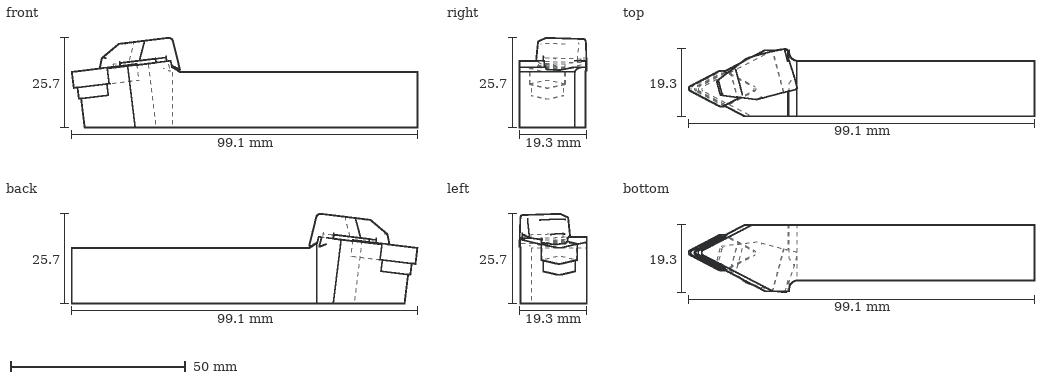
import cadquery as cq
import math

overall_length = 99.1
shank_width = 15.95
shank_height = 15.95

tilt = 7.0
head_drop = 0.3
head_bulge = 3.1
head_end_x = 28.3
step_bottom_x = 28.7
step_bottom_z = 17.3
ramp_end_x = 31.0
bulge_end_x = 28.8
bulge_fillet = 2.4

half_point = 55.0 / 2
insert_circle = 9.5
insert_thickness = 4.7
nose_radius = 0.8
blunt_radius = 3.4 / 2
shim_thickness = 3.3
shim_inset = 0.5
head_inset = 0.8

clamp_pivot = 8.2
clamp_turn = 15.0
rear_draft = 7.0
flare_draft = 9.0
clamp_top = 6.3
nose_front = 0.3
nose_top_a = 1.3
nose_top = 2.9
crown_front = 7.3
pad_end = 5.0
underside = 0.8
leg_front = 18.2
leg_front_bottom = -1.0
foot_bottom = -3.2
foot_end = 22.0
half_width = 6.0
nose_half_width = 2.1
flare = 22.5
rear_fillet = 1.4
side_fillet = 0.6
bottom_fillet = 0.4

half_shank = shank_width / 2
sin_half_point = math.sin(math.radians(half_point))
cos_half_point = math.cos(math.radians(half_point))
tan_half_point = math.tan(math.radians(half_point))
tan_tilt = math.tan(math.radians(tilt))
cos_tilt = math.cos(math.radians(tilt))

insert_radius = insert_circle / 2
insert_centre = (insert_radius - nose_radius) / sin_half_point + nose_radius
ample = 2 * overall_length
tolerance = 0.01

tilted_frame = cq.Location(
    cq.Plane(origin=(0, 0, shank_height), xDir=(1, 0, tan_tilt), normal=(-tan_tilt, 0, 1))
)


def rhombic_plate(top, thickness, inset):
    """Rhombic plate in the tilted frame, its sides moved inward by the inset."""
    radius = insert_radius - inset
    long_half = radius / sin_half_point
    short_half = radius / cos_half_point
    plate = (
        cq.Workplane("XY", origin=(insert_centre, 0, top))
        .polyline([(-long_half, 0), (0, -short_half), (long_half, 0), (0, short_half)])
        .close()
        .extrude(-thickness)
    )
    plate = plate.edges("<X or >X").fillet(nose_radius)
    return plate.edges("<Y or >Y").fillet(blunt_radius)


def make_insert():
    return rhombic_plate(0, insert_thickness, 0).val().moved(tilted_frame)


def make_shim():
    return rhombic_plate(-insert_thickness, shim_thickness, shim_inset).val().moved(tilted_frame)


def make_body():
    """Shank and head: a side profile trimmed to the pointed plan of the head."""
    head_drop_z = head_drop / cos_tilt
    profile = [
        (0, 0),
        (overall_length, 0),
        (overall_length, shank_height),
        (ramp_end_x, shank_height),
        (step_bottom_x, step_bottom_z),
        (head_end_x, shank_height + head_end_x * tan_tilt - head_drop_z),
        (0, shank_height - head_drop_z),
    ]
    block = (
        cq.Workplane("XZ", origin=(0, half_shank + head_bulge, 0))
        .polyline(profile)
        .close()
        .extrude(shank_width + head_bulge)
    )
    point = insert_centre - (insert_radius - head_inset) / sin_half_point
    wedge_half_width = ample * tan_half_point
    wedge = (
        cq.Workplane("XY", origin=(0, 0, -ample / 2))
        .polyline([(point, 0), (point + ample, -wedge_half_width), (point + ample, wedge_half_width)])
        .close()
        .extrude(ample)
        .edges("<X")
        .fillet(nose_radius)
    )
    body = block.intersect(cq.Workplane(wedge.val().moved(tilted_frame)))
    behind_bulge = (
        cq.Workplane("XY", origin=(bulge_end_x, half_shank, 0))
        .rect(ample, ample, centered=False)
        .extrude(ample)
        .edges("|Z and <X and <Y")
        .fillet(bulge_fillet)
    )
    return body.cut(behind_bulge)


def clamp_slab():
    """Side profile of the clamp at its full width."""
    rear_top = foot_end - (clamp_top - foot_bottom) * math.tan(math.radians(rear_draft))
    profile = [
        (nose_front, 0),
        (pad_end, 0),
        (pad_end, underside),
        (leg_front, underside),
        (leg_front, leg_front_bottom),
        (foot_end, foot_bottom),
        (rear_top, clamp_top),
        (crown_front, clamp_top),
        (nose_top_a, nose_top),
    ]
    return (
        cq.Workplane("XZ", origin=(0, half_width, 0))
        .polyline(profile)
        .close()
        .extrude(2 * half_width)
    )


def clamp_flare():
    """Triangular prism with drafted sides that narrows the clamp towards its nose."""
    tan_flare = math.tan(math.radians(flare))
    spread = math.tan(math.radians(flare_draft)) / math.cos(math.radians(flare))
    base_half_width = nose_half_width - foot_bottom * spread
    apex = nose_front - base_half_width / tan_flare
    return (
        cq.Workplane("XY", origin=(apex, 0, foot_bottom))
        .polyline([(0, 0), (ample, -ample * tan_flare), (ample, ample * tan_flare)])
        .close()
        .extrude(clamp_top - foot_bottom, taper=flare_draft)
    )


def is_upper_side_edge(edge):
    """True for the edges between the clamp's sides and its crown or nose slope."""
    centre = edge.Center()
    runs_along = abs(edge.tangentAt(0.5).x) > 0.2
    on_crown = centre.z > clamp_top - tolerance
    on_slope = centre.z > 1 and centre.x < crown_front - 0.5
    return runs_along and abs(centre.y) > 1 and (on_crown or on_slope)


def is_lower_edge(edge):
    """True for the outer edges of the clamp's pad and underside."""
    centre = edge.Center()
    on_bottom = abs(centre.z) < tolerance or abs(centre.z - underside) < tolerance
    is_outer = abs(centre.y) > 0.1 or centre.x < 1
    return on_bottom and is_outer and centre.x < leg_front - 0.1


def make_clamp():
    """Clamp built along +X from its pivot, then turned and tilted into place."""
    clamp = clamp_slab().intersect(clamp_flare())
    clamp = clamp.faces(">Z").edges(">X").fillet(rear_fillet)
    upper_edges = [edge for edge in clamp.edges().vals() if is_upper_side_edge(edge)]
    clamp = clamp.newObject(upper_edges).fillet(side_fillet)
    lower_edges = [edge for edge in clamp.edges().vals() if is_lower_edge(edge)]
    clamp = clamp.newObject(lower_edges).fillet(bottom_fillet)
    turned = cq.Location((clamp_pivot, 0, 0), (0, 0, 1), clamp_turn)
    return clamp.val().moved(tilted_frame * turned)


insert = make_insert()
holder = make_body().cut(cq.Workplane(insert)).union(cq.Workplane(make_shim()))
holder = holder.union(cq.Workplane(make_clamp()))

result = cq.Compound.makeCompound([holder.val(), insert])